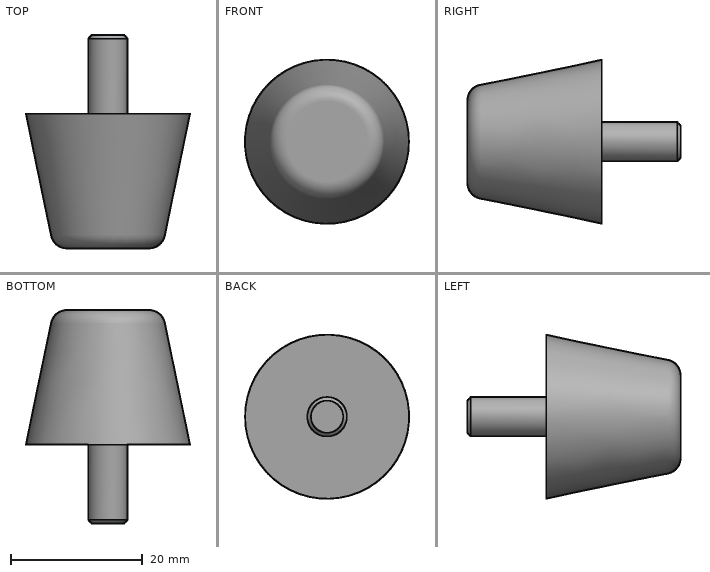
import cadquery as cq

total_length = 32.5

base_diameter = 25.0
nose_diameter = 16.5
bumper_length = 20.5
nose_rounding = 2.5

stud_diameter = 6.0
stud_chamfer = 0.55
stud_length = total_length - bumper_length


def make_bumper():
    """Cone narrowing toward -Y, with a rounded rim around its flat nose."""
    cone = (
        cq.Workplane("XY")
        .lineTo(base_diameter / 2, 0)
        .lineTo(nose_diameter / 2, -bumper_length)
        .lineTo(0, -bumper_length)
        .close()
        .revolve(360, (0, 0), (0, 1))
    )
    return cone.faces("<Y").edges().fillet(nose_rounding)


def make_stud():
    """Plain cylinder along +Y with a chamfered free end."""
    return (
        cq.Workplane("XZ")
        .circle(stud_diameter / 2)
        .extrude(-stud_length)
        .faces(">Y")
        .chamfer(stud_chamfer)
    )


bumper = make_bumper()
stud = make_stud()

result = cq.Compound.makeCompound([bumper.val(), stud.val()])